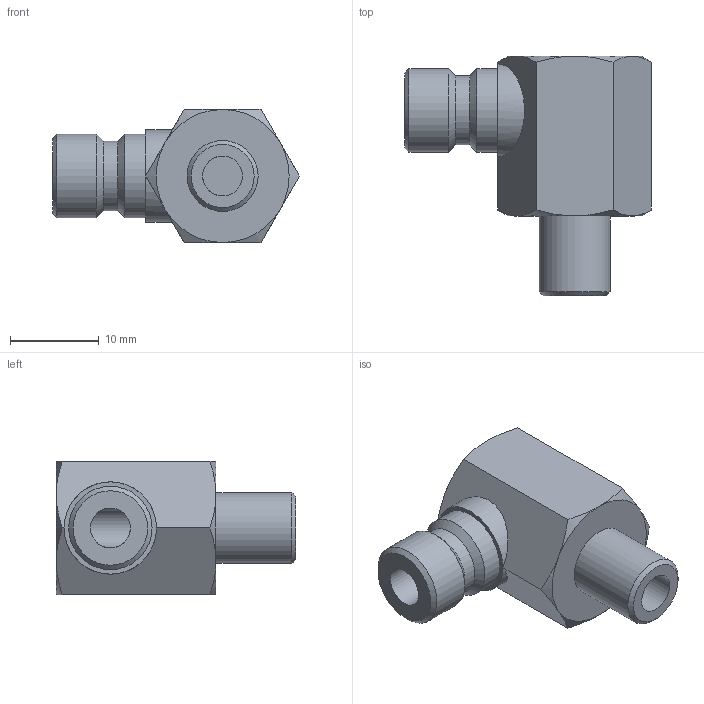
import cadquery as cq
import math

hex_sides = 6
across_flats = 15.0
body_length = 18.0
body_chamfer_angle = 30.0

stub_diameter = 8.0
stub_length = 9.0
stub_chamfer = 0.45

nose_diameter = 9.4
nose_reach = 19.17
nose_inset = 6.1
nose_chamfer = 0.5
groove_diameter = 7.8
groove_start = 4.95
groove_floor_width = 1.6
collar_diameter = 10.4

bore_diameter = 4.5

flat_radius = across_flats / 2
corner_radius = flat_radius / math.cos(math.pi / hex_sides)
body_front = 0.0
body_back = body_length
stub_tip = body_front - stub_length
nose_y = body_back - nose_inset
groove_depth = (nose_diameter - groove_diameter) / 2
bore_radius = bore_diameter / 2


def revolve_about_y(profile):
    """Solid of revolution about Y from (radius, y) points."""
    return cq.Workplane("XY").polyline(profile).close().revolve(360, (0, 0), (0, 1))


def make_body():
    """Hexagonal prism with its corners turned off conically at both ends."""
    prism = (
        cq.Workplane("XZ", origin=(0, body_back, 0))
        .polygon(hex_sides, 2 * corner_radius)
        .extrude(body_length)
    )
    chamfer_length = (corner_radius - flat_radius) * math.tan(math.radians(body_chamfer_angle))
    turned_envelope = revolve_about_y([
        (0, body_front),
        (flat_radius, body_front),
        (corner_radius, body_front + chamfer_length),
        (corner_radius, body_back - chamfer_length),
        (flat_radius, body_back),
        (0, body_back),
    ])
    return prism.intersect(turned_envelope)


def make_stub():
    """Plain cylinder with a chamfered tip."""
    radius = stub_diameter / 2
    return revolve_about_y([
        (0, stub_tip),
        (radius - stub_chamfer, stub_tip),
        (radius, stub_tip + stub_chamfer),
        (radius, nose_y),
        (0, nose_y),
    ])


def make_nose():
    """Turned nose with a 45 degree sided groove, and a collar that starts at the body corner."""
    radius = nose_diameter / 2
    groove_radius = groove_diameter / 2
    collar_radius = collar_diameter / 2
    tip = -nose_reach
    groove_outer_edge = tip + groove_start
    groove_floor_start = groove_outer_edge + groove_depth
    groove_floor_end = groove_floor_start + groove_floor_width
    groove_inner_edge = groove_floor_end + groove_depth
    profile = [
        (tip, 0),
        (tip, radius - nose_chamfer),
        (tip + nose_chamfer, radius),
        (groove_outer_edge, radius),
        (groove_floor_start, groove_radius),
        (groove_floor_end, groove_radius),
        (groove_inner_edge, radius),
        (-corner_radius, radius),
        (-corner_radius, collar_radius),
        (0, collar_radius),
        (0, 0),
    ]
    nose = cq.Workplane("XY").polyline(profile).close().revolve(360, (0, 0), (1, 0))
    return nose.translate((0, nose_y, 0))


def make_bores():
    """Two equal bores that meet at right angles inside the body."""
    bore_end = nose_y + bore_radius
    stub_bore = (
        cq.Workplane("XZ", origin=(0, bore_end, 0))
        .circle(bore_radius)
        .extrude(bore_end - stub_tip)
    )
    nose_bore = (
        cq.Workplane("YZ", origin=(-nose_reach, nose_y, 0))
        .circle(bore_radius)
        .extrude(nose_reach)
    )
    return stub_bore.union(nose_bore)


result = make_body().union(make_stub()).union(make_nose()).cut(make_bores())